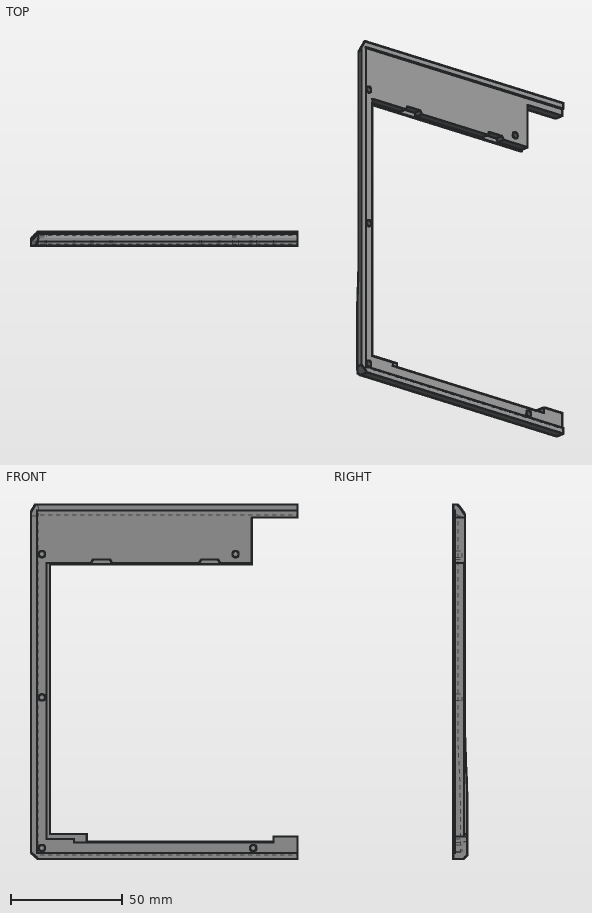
import cadquery as cq

WIDTH = 120.0
HEIGHT = 159.5
BACK_LOW = 6.4
BACK_HIGH = 5.5

RAMP_BOTTOM = 26.3
RAMP_TOP = 54.9

LEFT_BEVEL = 3.2
BOTTOM_BEVEL = 1.8
TOP_FLAT = 1.9
TOP_EDGE_BREAK = 1.1
TOP_BEVEL_DROP = 4.6
BOTTOM_CORNER = (3.2, 2.9)
TOP_CORNER_FRONT = 1.9
TOP_CORNER_FOLD = 2.9
TOP_CORNER_HEIGHT = 154.5

RIM = 2.7
RECESS = 0.8

OPENING_LEFT = 7.0
PANEL_BOTTOM = 133.2
PANEL_RIGHT = 99.4
STRIP_BOTTOM = 153.6
SHELF_TOP = 9.1
SHELF_RIGHT = 19.3
BAR_TOP = 7.5
BLOCK_LEFT = 109.1
BLOCK_TOP = 10.2

LIP_FRONT = 4.8
LIP_LEFT = 8.6
LIP_PANEL_BOTTOM = 132.5
LIP_SHELF_TOP = 11.3
LIP_SHELF_RIGHT = 25.2
LIP_BAR_TOP = 8.0

NOTCH_CENTERS = (31.7, 80.4)
NOTCH_TOP = 134.8
NOTCH_TOP_WIDTH = 7.5
NOTCH_BOTTOM_WIDTH = 9.4

HOLE_DIAMETER = 2.9
HOLE_DEPTH = 3.2
HOLE_LEFT = 5.0
HOLES = (
    (HOLE_LEFT, 137.2),
    (92.0, 137.2),
    (HOLE_LEFT, 72.7),
    (HOLE_LEFT, 5.0),
    (100.0, 5.0),
)

MARGIN = 16.0


def front_plane(depth):
    """Plane at the given depth; sketch x is X, sketch y is Z, extruding negative goes back."""
    return cq.Workplane("XZ", origin=(0, depth, 0))


def prism(points, front, back):
    """Extrude an XZ outline from one depth to another."""
    return front_plane(front).polyline(points).close().extrude(front - back)


def back_profile(front, shift, bottom, top):
    """Closed YZ profile bounded by the S-curved back face moved by shift."""
    low = BACK_LOW + shift
    high = BACK_HIGH + shift
    middle = ((low + high) / 2, (RAMP_BOTTOM + RAMP_TOP) / 2)
    return (
        cq.Workplane("YZ")
        .moveTo(front, bottom)
        .lineTo(low, bottom)
        .lineTo(low, RAMP_BOTTOM)
        .tangentArcPoint(middle, relative=False)
        .tangentArcPoint((high, RAMP_TOP), relative=False)
        .lineTo(high, top)
        .lineTo(front, top)
        .close()
    )


def slab():
    """Blank with the S-curved back face and the top, bottom and left bevels."""
    body = back_profile(0, 0, 0, HEIGHT).extrude(WIDTH)
    top_cut = [
        (TOP_FLAT, HEIGHT),
        (TOP_FLAT + TOP_EDGE_BREAK, HEIGHT - TOP_EDGE_BREAK),
        (BACK_HIGH, HEIGHT - TOP_BEVEL_DROP),
        (BACK_HIGH, HEIGHT),
    ]
    bottom_cut = [(BACK_LOW - BOTTOM_BEVEL, 0), (BACK_LOW, BOTTOM_BEVEL), (BACK_LOW, 0)]
    for points in (top_cut, bottom_cut):
        body = body.cut(cq.Workplane("YZ").polyline(points).close().extrude(WIDTH))

    reach = WIDTH + MARGIN
    profile = back_profile(-reach - MARGIN, -LEFT_BEVEL, -MARGIN, HEIGHT + MARGIN).wires().val()
    bevel_envelope = cq.Solid.extrudeLinear(profile, [], cq.Vector(reach, reach, 0))
    return body.intersect(cq.Workplane(bevel_envelope))


def corner_cutter(a, b, c):
    """Block standing on the upper side of the plane through three points."""
    origin = cq.Vector(*a)
    normal = (cq.Vector(*b) - origin).cross(cq.Vector(*c) - origin)
    if normal.z < 0:
        normal = -normal
    plane = cq.Plane(origin=origin, xDir=cq.Vector(*b) - origin, normal=normal)
    return cq.Workplane(plane).rect(2 * MARGIN, 2 * MARGIN).extrude(MARGIN)


def trim_corners(body):
    """Chamfer the lower left corner and cut the two sloping facets of the upper left one."""
    corner_x, corner_z = BOTTOM_CORNER
    body = body.cut(prism([(0, 0), (corner_x, 0), (0, corner_z)], 0, BACK_LOW))
    wall_back = BACK_HIGH - LEFT_BEVEL
    fold_top = (TOP_CORNER_FOLD, TOP_FLAT, HEIGHT)
    fold_left = (0, wall_back, TOP_CORNER_HEIGHT)
    body = body.cut(corner_cutter((TOP_CORNER_FRONT, 0, HEIGHT), fold_top, fold_left))
    return body.cut(corner_cutter(fold_left, (LEFT_BEVEL, BACK_HIGH, TOP_CORNER_HEIGHT), fold_top))


def opening(left, panel_bottom, shelf_top, shelf_right, bar_top):
    """Outline of the space inside the frame, open to the right."""
    outside = WIDTH + MARGIN
    return [
        (left, panel_bottom),
        (PANEL_RIGHT, panel_bottom),
        (PANEL_RIGHT, STRIP_BOTTOM),
        (outside, STRIP_BOTTOM),
        (outside, BLOCK_TOP),
        (BLOCK_LEFT, BLOCK_TOP),
        (BLOCK_LEFT, bar_top),
        (shelf_right, bar_top),
        (shelf_right, shelf_top),
        (left, shelf_top),
    ]


def notch(center):
    """Tapered notch in front of the lip."""
    half_top = NOTCH_TOP_WIDTH / 2
    half_bottom = NOTCH_BOTTOM_WIDTH / 2
    points = [
        (center - half_bottom, PANEL_BOTTOM),
        (center - half_top, NOTCH_TOP),
        (center + half_top, NOTCH_TOP),
        (center + half_bottom, PANEL_BOTTOM),
    ]
    return prism(points, 0, LIP_FRONT)


def front_recess():
    """Shallow pocket that leaves the rim standing along the top, left and bottom."""
    pocket = cq.Workplane().box(WIDTH, RECESS, HEIGHT - 2 * RIM, centered=False)
    return pocket.translate((RIM, 0, RIM))


result = trim_corners(slab())
result = result.cut(front_recess())

front_opening = opening(OPENING_LEFT, PANEL_BOTTOM, SHELF_TOP, SHELF_RIGHT, BAR_TOP)
lip_opening = opening(LIP_LEFT, LIP_PANEL_BOTTOM, LIP_SHELF_TOP, LIP_SHELF_RIGHT, LIP_BAR_TOP)
result = result.cut(prism(front_opening, 0, LIP_FRONT))
result = result.cut(prism(lip_opening, 0, BACK_LOW))

for notch_center in NOTCH_CENTERS:
    result = result.cut(notch(notch_center))

holes = front_plane(RECESS).pushPoints(HOLES).circle(HOLE_DIAMETER / 2).extrude(-HOLE_DEPTH)
result = result.cut(holes)